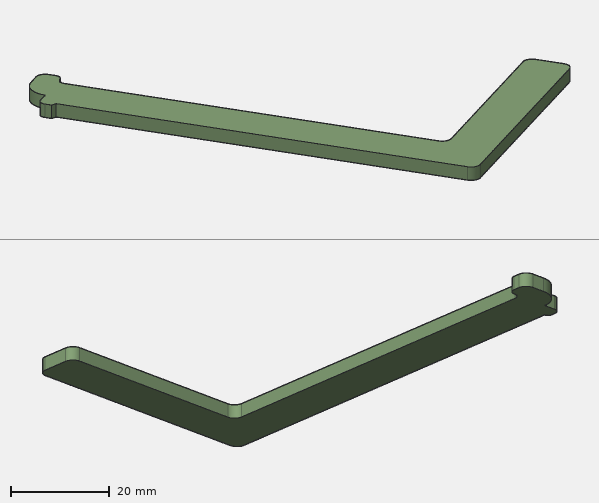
import cadquery as cq
import math

length = 99.5
depth = 56.0
thickness = 3.0
arm_width = 10.0
corner_radius = 2.0

foot_drop = 1.0
foot_left = 5.0
foot_radius = 1.5
foot_flat_end = 8.0
foot_right = 8.6

hook_bottom = 4.2
hook_top = 14.1
hook_heel_radius = 5.0
hook_right = 5.0

long_arm_top = foot_drop + arm_width
short_arm_left = length - arm_width
neck_radius = (hook_top - long_arm_top) / 2
neck_y = long_arm_top + neck_radius



def quarter_arc(outline, start_dir, end_dir, center, radius):
    """Add a quarter arc about center, between two perpendicular unit directions."""
    middle_dir = tuple((a + b) / math.sqrt(2) for a, b in zip(start_dir, end_dir))
    middle, end = (
        tuple(c + radius * d for c, d in zip(center, direction))
        for direction in (middle_dir, end_dir)
    )
    return outline.threePointArc(middle, end)


EAST = (1, 0)
NORTH = (0, 1)
WEST = (-1, 0)
SOUTH = (0, -1)

outline = cq.Workplane("XY").moveTo(foot_flat_end, 0).lineTo(foot_right, foot_drop)

outline = (
    outline.lineTo(length, foot_drop)
    .lineTo(length, depth)
    .lineTo(short_arm_left, depth)
    .lineTo(short_arm_left, long_arm_top)
    .lineTo(hook_right + neck_radius, long_arm_top)
)

outline = quarter_arc(outline, SOUTH, WEST, (hook_right + neck_radius, neck_y), neck_radius)
outline = quarter_arc(outline, EAST, NORTH, (hook_right - neck_radius, neck_y), neck_radius)
outline = outline.lineTo(corner_radius, hook_top)
outline = quarter_arc(outline, NORTH, WEST, (corner_radius, hook_top - corner_radius), corner_radius)

heel_center = (hook_heel_radius, hook_bottom + hook_heel_radius)
outline = outline.lineTo(0, heel_center[1])
outline = quarter_arc(outline, WEST, SOUTH, heel_center, hook_heel_radius)

outline = outline.lineTo(foot_left, foot_radius)
outline = quarter_arc(outline, WEST, SOUTH, (foot_left + foot_radius, foot_radius), foot_radius)

plate = outline.close().extrude(thickness)

rounded_corners = (
    (length, foot_drop),
    (length, depth),
    (short_arm_left, depth),
    (short_arm_left, long_arm_top),
)
for x, y in rounded_corners:
    corner_edge = cq.selectors.NearestToPointSelector((x, y, thickness / 2))
    plate = plate.edges("|Z").edges(corner_edge).fillet(corner_radius)

result = plate